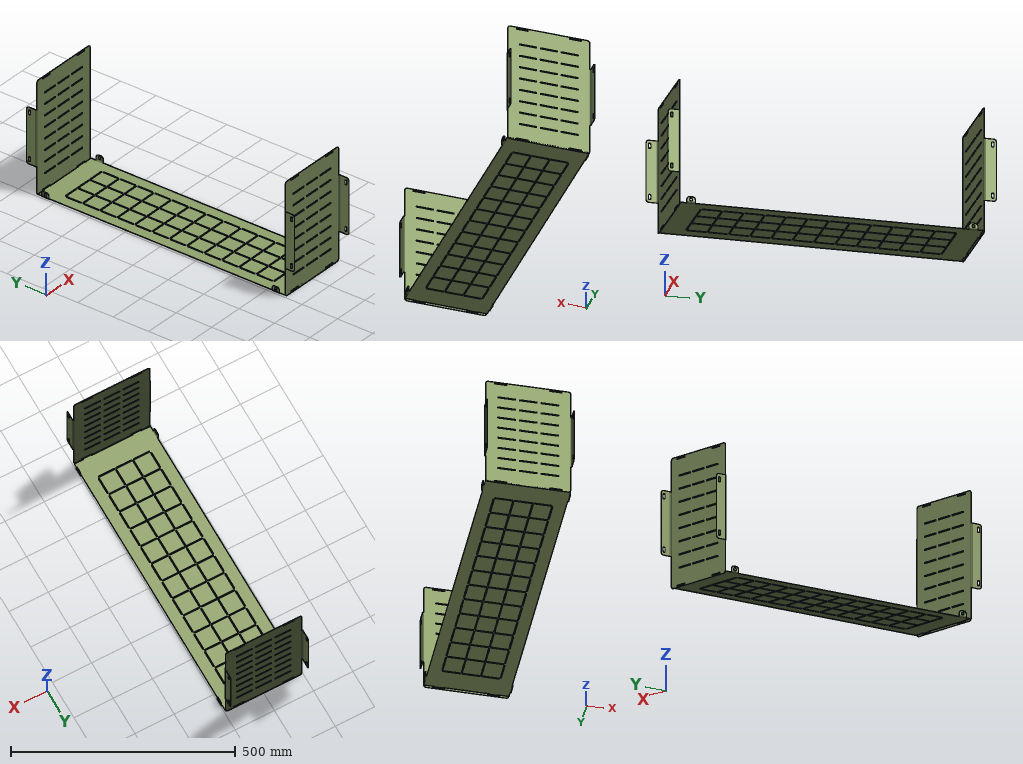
import cadquery as cq
OUTER_WIDTH = 199.0
OUTER_LENGTH = 756.0
PLATE_HEIGHT = 300.0
SHEET = 1.0
BEND_OUTER = 2.5
BEND_INNER = BEND_OUTER - SHEET
FLAT_WIDTH = OUTER_WIDTH - 2 * BEND_OUTER

FLANGE_REACH = 28.0
FLANGE_HEIGHT = 149.0
CORNER_RADIUS = 7.0
BOLT_SLOT_LENGTH = 12.0
BOLT_SLOT_WIDTH = 5.0
BOLT_SLOT_EDGE = 8.0
BOLT_SLOT_SPACING = 122.5
VENT_LENGTH = 40.0
VENT_WIDTH = 2.0
VENT_PITCH_X = 49.0
VENT_PITCH_Z = 30.0
VENT_COLUMNS = 3
VENT_ROWS = 8

TAB_LENGTH = 21.0
TAB_SPACING = 125.5
TAB_SLOT_LENGTH = 27.0
TAB_SLOT_HEIGHT = 2.0
TAB_SLOT_INSET = 3.0

SHELF_GAP = 2.0
GRID_WIDTH = 133.0
GRID_LENGTH = 588.0
GRID_COLUMNS = 3
GRID_ROWS = 12
CUT_WIDTH = 2.0
CROSS_CUT_LENGTH = 41.0
LONG_CUT_LENGTH = 41.5
EAR_LENGTH = 20.5
EAR_HEIGHT = 15.0
EAR_HOLE = 7.0
EAR_HOLE_HEIGHT = 8.0
EAR_RADIUS = 7.5
EAR_SPACING = 650.0

PLATE_INNER_Y = OUTER_LENGTH / 2 - FLANGE_REACH
PLATE_OUTER_Y = PLATE_INNER_Y + SHEET
PLATE_MID_Z = PLATE_HEIGHT / 2
TAB_SLOT_Z = TAB_SLOT_INSET + TAB_SLOT_HEIGHT / 2
SHELF_BOTTOM = TAB_SLOT_Z - SHEET / 2


def centred(count, pitch):
    """Evenly spaced positions, symmetrical about zero."""
    return [(i - (count - 1) / 2) * pitch for i in range(count)]


def grid(xs, ys):
    return [(x, y) for x in xs for y in ys]


def make_flanges():
    """Channel whose web lies in the end plate and whose legs are the two side flanges."""
    outside = (
        cq.Workplane("XY")
        .box(OUTER_WIDTH, FLANGE_REACH, FLANGE_HEIGHT, centered=(True, False, True))
        .edges("|Z and <Y").fillet(BEND_OUTER)
        .edges("|X and >Y").fillet(CORNER_RADIUS)
    )
    inside = (
        cq.Workplane("XY")
        .box(OUTER_WIDTH - 2 * SHEET, FLANGE_REACH, FLANGE_HEIGHT, centered=(True, False, True))
        .edges("|Z and <Y").fillet(BEND_INNER)
        .translate((0, SHEET, 0))
    )
    return outside.cut(inside).translate((0, 0, PLATE_MID_Z))


def make_end_plate():
    """End plate at the +Y end, with flanges bent outward."""
    flat = (
        cq.Workplane("XY")
        .box(FLAT_WIDTH, SHEET, PLATE_HEIGHT, centered=(True, False, False))
        .edges("|Y").fillet(CORNER_RADIUS)
    )
    bolt_slots = (
        cq.Workplane("YZ", origin=(0, FLANGE_REACH - BOLT_SLOT_EDGE, PLATE_MID_Z))
        .pushPoints(grid([0], centred(2, BOLT_SLOT_SPACING)))
        .slot2D(BOLT_SLOT_LENGTH, BOLT_SLOT_WIDTH, 90)
        .extrude(OUTER_WIDTH, both=True)
    )
    vents = (
        cq.Workplane("XZ", origin=(0, 0, PLATE_MID_Z))
        .pushPoints(grid(centred(VENT_COLUMNS, VENT_PITCH_X), centred(VENT_ROWS, VENT_PITCH_Z)))
        .slot2D(VENT_LENGTH, VENT_WIDTH)
        .extrude(-SHEET)
    )
    tab_slots = (
        cq.Workplane("XZ")
        .pushPoints(grid(centred(2, TAB_SPACING), [TAB_SLOT_Z, PLATE_HEIGHT - TAB_SLOT_Z]))
        .rect(TAB_SLOT_LENGTH, TAB_SLOT_HEIGHT)
        .extrude(-SHEET)
    )
    plate = flat.union(make_flanges()).cut(bolt_slots).cut(vents).cut(tab_slots)
    return plate.translate((0, PLATE_INNER_Y, 0))


def make_ears():
    """Strip across the shelf with a pierced, rounded ear bent up at each side."""
    outside = (
        cq.Workplane("XY")
        .box(OUTER_WIDTH, EAR_LENGTH, EAR_HEIGHT, centered=(True, True, False))
        .edges("|Y and <Z").fillet(BEND_OUTER)
        .edges("|X and >Z").fillet(EAR_RADIUS)
    )
    inside = (
        cq.Workplane("XY")
        .box(OUTER_WIDTH - 2 * SHEET, EAR_LENGTH, EAR_HEIGHT, centered=(True, True, False))
        .edges("|Y and <Z").fillet(BEND_INNER)
        .translate((0, 0, SHEET))
    )
    holes = (
        cq.Workplane("YZ", origin=(0, 0, EAR_HOLE_HEIGHT))
        .circle(EAR_HOLE / 2)
        .extrude(OUTER_WIDTH, both=True)
    )
    return outside.cut(inside).cut(holes)


def make_grid_cuts():
    """Slots through the shelf along the sides of a grid of rectangles, bridged at the crossings."""
    pitch_x = GRID_WIDTH / GRID_COLUMNS
    pitch_y = GRID_LENGTH / GRID_ROWS
    cross_cuts = (
        cq.Workplane("XY")
        .pushPoints(grid(centred(GRID_COLUMNS, pitch_x), centred(GRID_ROWS + 1, pitch_y)))
        .slot2D(CROSS_CUT_LENGTH, CUT_WIDTH)
        .extrude(SHEET)
    )
    long_cuts = (
        cq.Workplane("XY")
        .pushPoints(grid(centred(GRID_COLUMNS + 1, pitch_x), centred(GRID_ROWS, pitch_y)))
        .slot2D(LONG_CUT_LENGTH, CUT_WIDTH, 90)
        .extrude(SHEET)
    )
    return cross_cuts, long_cuts


def make_shelf():
    """Shelf between the end plates; its tabs end flush with the far faces of the plates."""
    flat_length = 2 * (PLATE_INNER_Y - SHELF_GAP)
    shelf = cq.Workplane("XY").box(FLAT_WIDTH, flat_length, SHEET, centered=(True, True, False))
    tabs = (
        cq.Workplane("XY")
        .pushPoints(grid(centred(2, TAB_SPACING), [0]))
        .rect(TAB_LENGTH, 2 * PLATE_OUTER_Y)
        .extrude(SHEET)
    )
    shelf = shelf.union(tabs)
    for y in centred(2, EAR_SPACING):
        shelf = shelf.union(make_ears().translate((0, y, 0)))
    for cuts in make_grid_cuts():
        shelf = shelf.cut(cuts)
    return shelf.translate((0, 0, SHELF_BOTTOM))


shelf = make_shelf()
end_plates = [make_end_plate().rotate((0, 0, 0), (0, 0, 1), angle) for angle in (0, 180)]

result = cq.Compound.makeCompound([shelf.val(), *[plate.val() for plate in end_plates]])